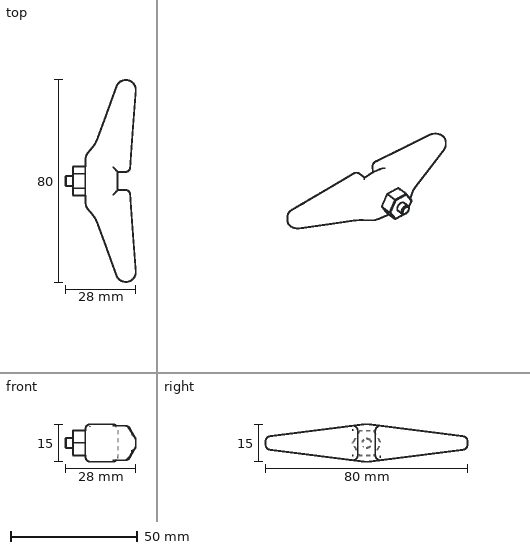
import cadquery as cq
import math

wing_reach = 40.0
handle_depth = 20.0
tip_radius = 4.0
hub_corner_y = 10.0
shoulder_angle = 40.0
wing_angle = 20.0
shoulder_round = 4.0
wing_root_round = 12.0
grip_side_x = 17.5

centre_half_height = 7.5
taper_angle = 7.2
ridge_round = 8.0
edge_round = 2.0

slot_half_width = 3.5
slot_floor_x = 12.75

nut_across_flats = 10.0
nut_height = 5.0
nut_chamfer = 0.25
nut_turn = 30.0
stud_radius = 2.0
stud_length = 3.0
stud_chamfer = 0.4


def blend_points(before, corner, after, radius):
    """Start, middle and end of the arc that rounds a corner between two straight lines."""
    corner_v = cq.Vector(*corner)
    to_before = (cq.Vector(*before) - corner_v).normalized()
    to_after = (cq.Vector(*after) - corner_v).normalized()
    half_angle = to_before.getAngle(to_after) / 2
    setback = radius / math.tan(half_angle)
    bisector = (to_before + to_after).normalized()
    middle = corner_v + bisector * (radius / math.sin(half_angle) - radius)
    points = (corner_v + to_before * setback, middle, corner_v + to_after * setback)
    return [(p.x, p.y) for p in points]


def turned_blank():
    """Solid of revolution about X that carries the wing shape."""
    tip_x = handle_depth - tip_radius
    tip_y = wing_reach - tip_radius
    wing_slope = math.radians(wing_angle)
    shoulder_slope = math.radians(shoulder_angle)

    tip_start = (tip_x - tip_radius * math.cos(wing_slope), tip_y + tip_radius * math.sin(wing_slope))

    axis_crossing_x = tip_start[0] - tip_start[1] * math.tan(wing_slope)
    root_y = (hub_corner_y * math.tan(shoulder_slope) + axis_crossing_x) / (
        math.tan(shoulder_slope) - math.tan(wing_slope)
    )
    root = (axis_crossing_x + root_y * math.tan(wing_slope), root_y)

    grip_start = (grip_side_x, slot_half_width)
    from_tip_x = grip_start[0] - tip_x
    from_tip_y = grip_start[1] - tip_y
    tangent_turn = math.acos(tip_radius / math.hypot(from_tip_x, from_tip_y))
    touch_angle = math.atan2(from_tip_y, from_tip_x) + tangent_turn
    tip_end = (tip_x + tip_radius * math.cos(touch_angle), tip_y + tip_radius * math.sin(touch_angle))

    hub_corner = (0, hub_corner_y)
    shoulder = blend_points((0, 0), hub_corner, root, shoulder_round)
    wing_root = blend_points(hub_corner, root, tip_start, wing_root_round)

    return (
        cq.Workplane("XY")
        .lineTo(*shoulder[0])
        .threePointArc(shoulder[1], shoulder[2])
        .lineTo(*wing_root[0])
        .threePointArc(wing_root[1], wing_root[2])
        .lineTo(*tip_start)
        .threePointArc((tip_x, wing_reach), tip_end)
        .lineTo(*grip_start)
        .lineTo(grip_side_x, 0)
        .close()
        .revolve(360, (0, 0, 0), (1, 0, 0))
    )


def tapered_slab():
    """Bar along X whose diamond section sets the handle thickness, with rounded ridges."""
    taper = math.radians(taper_angle)
    ridge = centre_half_height + ridge_round * (1 / math.cos(taper) - 1)
    tip_half_height = ridge - wing_reach * math.tan(taper)
    return (
        cq.Workplane("YZ")
        .polyline([
            (0, ridge),
            (wing_reach, tip_half_height),
            (wing_reach, -tip_half_height),
            (0, -ridge),
            (-wing_reach, -tip_half_height),
            (-wing_reach, tip_half_height),
        ])
        .close()
        .extrude(handle_depth)
        .edges("(>Z or <Z) and |X")
        .fillet(ridge_round)
    )


def broad_face_outline(body):
    """Edges around the top and bottom, without those that two broad faces share."""
    steepest_normal_z = math.cos(math.radians(2 * taper_angle))
    broad_faces = [face for face in body.faces().vals() if abs(face.normalAt().z) > steepest_normal_z]
    edges = [edge for face in broad_faces for edge in face.Edges()]
    return [edge for edge in edges if sum(edge.isSame(other) for other in edges) == 1]


def make_handle():
    slot = (
        cq.Workplane("XY")
        .box(handle_depth, 2 * slot_half_width, 3 * centre_half_height, centered=(False, True, True))
        .translate((slot_floor_x, 0, 0))
    )
    body = turned_blank().intersect(tapered_slab()).cut(slot)

    slot_mouth = cq.selectors.BoxSelector(
        (grip_side_x - edge_round, -slot_half_width - edge_round, -centre_half_height + edge_round),
        (handle_depth, slot_half_width + edge_round, centre_half_height - edge_round),
    )
    body = body.edges(slot_mouth).fillet(edge_round)
    return body.newObject(broad_face_outline(body)).fillet(edge_round)


def make_screw():
    """Nut seated on the mounting face, with the stud standing out of it along -X."""
    nut = (
        cq.Workplane("YZ")
        .polygon(6, nut_across_flats, circumscribed=True)
        .extrude(-nut_height)
        .rotate((0, 0, 0), (1, 0, 0), nut_turn)
        .faces("<X")
        .chamfer(nut_chamfer)
    )
    stud = (
        cq.Workplane("YZ")
        .circle(stud_radius)
        .extrude(-nut_height - stud_length)
        .faces("<X")
        .chamfer(stud_chamfer)
    )
    return nut.union(stud)


handle = make_handle()
screw = make_screw()
result = cq.Compound.makeCompound([handle.val(), *screw.vals()])